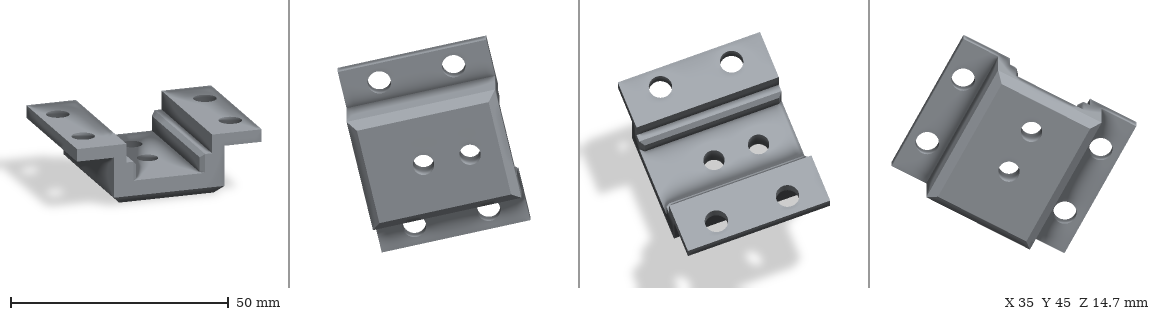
import cadquery as cq

length = 35.0
width = 45.0
height = 14.65

body_half = 13.5
opening_half = 10.45
channel_half = 7.75

flange_thickness = 3.0
ledge_z = height - 4.5
floor_z = 5.62
base_chamfer = 2.0
channel_chamfer = 1.0

flange_hole_diameter = 5.4
flange_hole_pitch_x = length / 2
flange_hole_pitch_y = 35.8
floor_hole_diameter = 4.9
floor_hole_first_x = 9.0 - length / 2
floor_hole_pitch = 11.0


def block(size_x, size_y, bottom, top):
    """Box centred in X and Y between two levels."""
    return (
        cq.Workplane("XY")
        .workplane(offset=bottom)
        .rect(size_x, size_y)
        .extrude(top - bottom)
    )


def outer_body():
    """Chamfered base with a full-width flange on top."""
    base = block(length, 2 * body_half, 0, height)
    base = base.faces("<Z").edges().chamfer(base_chamfer)
    flange = block(length, width, height - flange_thickness, height)
    return base.union(flange)


def wall_end_flare():
    """Wedge that widens the channel between the walls at the +X end."""
    end_x = length / 2
    outer_half = channel_half + channel_chamfer
    inner_x = end_x - channel_chamfer
    return (
        cq.Workplane("XY")
        .workplane(offset=floor_z)
        .polyline([
            (end_x, -outer_half),
            (end_x, outer_half),
            (inner_x, channel_half),
            (inner_x, -channel_half),
        ])
        .close()
        .extrude(ledge_z - floor_z)
    )


def entry_flare():
    """Tapered cut that chamfers the floor and both walls at the -X end."""
    end = cq.Workplane("YZ").workplane(offset=-length / 2)
    outer_width = 2 * (channel_half + channel_chamfer)
    cut_height = ledge_z - floor_z
    middle_z = (floor_z + ledge_z) / 2
    return (
        end.center(0, middle_z)
        .rect(outer_width, cut_height + 2 * channel_chamfer)
        .workplane(offset=channel_chamfer)
        .rect(2 * channel_half, cut_height)
        .loft(ruled=True)
    )


def channel():
    """Stepped opening with chamfered ledge edges and flared ends."""
    opening = block(length, 2 * opening_half, ledge_z, height)
    slot = block(length, 2 * channel_half, floor_z, ledge_z)
    chamfer_z = ledge_z - channel_chamfer
    top_half = channel_half + channel_chamfer
    ledge_chamfer = (
        cq.Workplane("YZ")
        .workplane(offset=-length / 2)
        .polyline([
            (-channel_half, chamfer_z),
            (channel_half, chamfer_z),
            (top_half, ledge_z),
            (-top_half, ledge_z),
        ])
        .close()
        .extrude(length)
    )
    return (
        opening.union(slot)
        .union(ledge_chamfer)
        .union(wall_end_flare())
        .union(entry_flare())
    )


def holes():
    """Four flange holes and two floor holes, all passing through."""
    flange_holes = (
        cq.Workplane("XY")
        .rarray(flange_hole_pitch_x, flange_hole_pitch_y, 2, 2)
        .circle(flange_hole_diameter / 2)
        .extrude(height)
    )
    floor_holes = (
        cq.Workplane("XY")
        .pushPoints([
            (floor_hole_first_x, 0),
            (floor_hole_first_x + floor_hole_pitch, 0),
        ])
        .circle(floor_hole_diameter / 2)
        .extrude(height)
    )
    return flange_holes.union(floor_holes)


result = outer_body().cut(channel()).cut(holes())